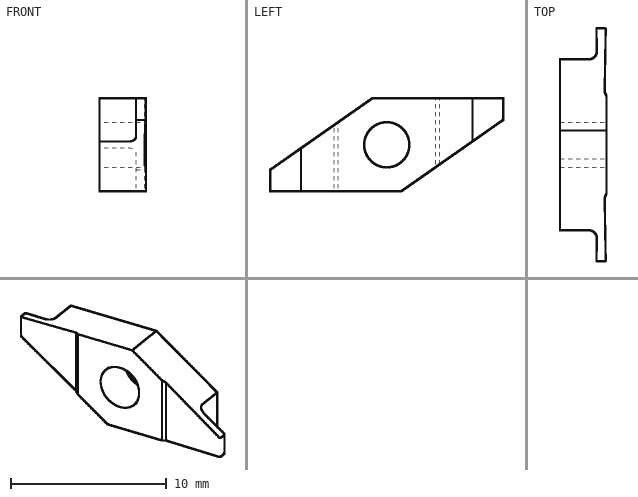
import cadquery as cq
import math

thickness = 3.0
length = 15.0
height = 6.0

bevel_angle = 35.0
tip_height = 1.4
bevel_run = (height - tip_height) / math.tan(math.radians(bevel_angle))
hole_diameter = 2.9

shoulder_y = 5.5
shoulder_fillet = 0.5
tip_inner_x = 0.84
tip_outer_x = 1.45
side_relief_angle = 1.0
relief_slope = math.tan(math.radians(side_relief_angle))
tip_corner_radius = 0.08

relief_end_y = 3.39
step_end_y = 3.15

half_thickness = thickness / 2
half_length = length / 2
half_height = height / 2


def make_plate():
    """Six-sided plate, extruded across its thickness."""
    bevel_end_y = half_length - bevel_run
    tip_inner_z = half_height - tip_height
    outline = [
        (-half_length, half_height),
        (bevel_end_y, half_height),
        (half_length, -tip_inner_z),
        (half_length, -half_height),
        (-bevel_end_y, -half_height),
        (-half_length, tip_inner_z),
    ]
    return (
        cq.Workplane("YZ", origin=(-half_thickness, 0, 0))
        .polyline(outline)
        .close()
        .extrude(thickness)
    )


def make_end_envelope():
    """The +Y half of the plan outline, with its tapered tip, as a full-height prism."""
    neck_x = tip_inner_x + (half_length - shoulder_y) * relief_slope
    relief_end_x = tip_outer_x - (half_length - relief_end_y) * relief_slope
    outline = [
        (-half_thickness, 0),
        (-half_thickness, shoulder_y),
        (neck_x, shoulder_y),
        (tip_inner_x, half_length),
        (tip_outer_x, half_length),
        (relief_end_x, relief_end_y),
        (half_thickness, step_end_y),
        (half_thickness, 0),
    ]
    prism = (
        cq.Workplane("XY", origin=(0, 0, -half_height))
        .polyline(outline)
        .close()
        .extrude(height)
    )
    shoulder_corner = cq.selectors.NearestToPointSelector((neck_x, shoulder_y, 0))
    prism = prism.edges(shoulder_corner).fillet(shoulder_fillet)
    return prism.faces(">Y").edges("|Z").fillet(tip_corner_radius)


end_envelope = make_end_envelope()
plan_envelope = end_envelope.union(end_envelope.mirror("XZ"))

hole = (
    cq.Workplane("YZ", origin=(-half_thickness, 0, 0))
    .circle(hole_diameter / 2)
    .extrude(thickness)
)

result = make_plate().intersect(plan_envelope).cut(hole)